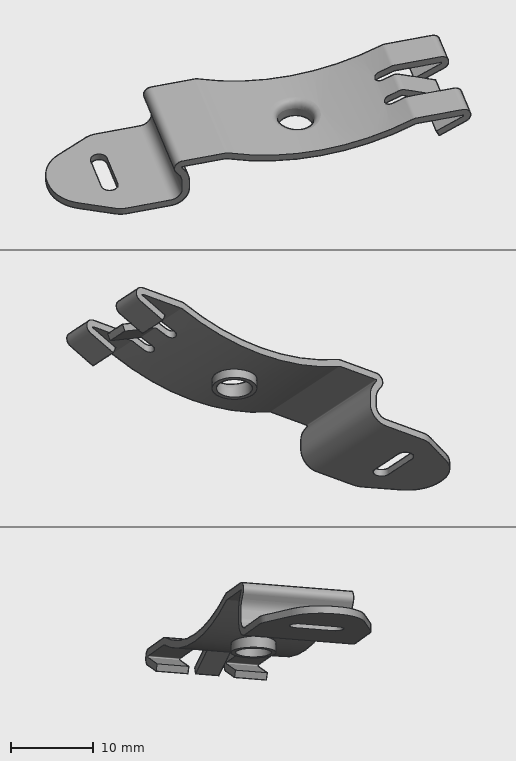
import cadquery as cq
import math

length = 51.0
width = 14.0
height = 6.85
thickness = 0.9
top_mid = height - thickness / 2
foot_mid = thickness / 2

inner_bend_radius = 0.1
bend_radius = inner_bend_radius + thickness / 2
outer_bend_radius = inner_bend_radius + thickness

lip_length = 3.7
lip_angle = 25.0

saddle_start = 6.85
saddle_end = 30.65
saddle_radius = 31.1
saddle_middle = (saddle_start + saddle_end) / 2
saddle_angle = math.degrees(math.asin((saddle_end - saddle_middle) / (saddle_radius + bend_radius)))
saddle_center_z = top_mid - bend_radius + (saddle_radius + bend_radius) * math.cos(math.radians(saddle_angle))

step_nose = 37.1
step_fold_start = step_nose - outer_bend_radius
undercut_angle = 35.0
undercut_radius = 2.55
foot_bend_radius = 1.9
foot_start = 37.55
undercut_sin = math.sin(math.radians(undercut_angle))
undercut_cos = math.cos(math.radians(undercut_angle))
wall_position = foot_start - foot_bend_radius
undercut_setback = step_fold_start + bend_radius * undercut_cos - wall_position
undercut_length = (undercut_setback - undercut_radius * (1 - undercut_cos)) / undercut_sin
wall_height = (
    top_mid - foot_mid
    - bend_radius * (1 + undercut_sin)
    - undercut_length * undercut_cos
    - undercut_radius * undercut_sin
    - foot_bend_radius
)

tongue_width = 2.95
tongue_slot_width = 1.5
tongue_slot_end = 9.45
tongue_bend_start = 7.3
tongue_tip = 2.05
tongue_angle = 23.5
tongue_root = 10.7

hole_position = 20.0
hole_diameter = 4.35
flange_diameter = 5.4
flange_bottom = 2.45
hole_lip_radius = 0.95

foot_tip_flat = 0.5
foot_tip_radius = 4.85
foot_taper_angle = 28.0
foot_corner_radius = 2.7
foot_slot_length = 6.8
foot_slot_width = 2.05
foot_slot_position = 43.9


def step(point, distance, heading):
    """Move a point (y, z) by a distance along a heading in degrees."""
    angle = math.radians(heading)
    return (point[0] + distance * math.cos(angle), point[1] + distance * math.sin(angle))


def ribbon(start, heading, moves, ribbon_width):
    """Bent strip following the middle of the sheet.

    Each move is ("line", length) or ("bend", radius, turn), with left turns positive.
    """
    half = thickness / 2
    first_left = step(start, half, heading + 90)
    point = start
    left = cq.Workplane("YZ").moveTo(*first_left)
    right_edges = []
    right_end = step(start, half, heading - 90)
    for move in moves:
        right_begin = right_end
        right_middle = None
        if move[0] == "line":
            point = step(point, move[1], heading)
            left = left.lineTo(*step(point, half, heading + 90))
        else:
            radius, turn = move[1:]
            to_center = heading + math.copysign(90, turn)
            center = step(point, radius, to_center)
            middle_direction = to_center + 180 + turn / 2
            middle = step(center, radius, middle_direction)
            point = step(center, radius, to_center + 180 + turn)
            middle_heading = heading + turn / 2
            heading += turn
            left = left.threePointArc(
                step(middle, half, middle_heading + 90), step(point, half, heading + 90)
            )
            right_middle = step(middle, half, middle_heading - 90)
        right_end = step(point, half, heading - 90)
        right_edges.append((right_begin, right_middle))
    outline = left.lineTo(*right_end)
    for begin, middle in reversed(right_edges):
        if middle is None:
            outline = outline.lineTo(*begin)
        else:
            outline = outline.threePointArc(middle, begin)
    return outline.close().extrude(ribbon_width / 2, both=True)


def make_strip():
    fold_center = (-outer_bend_radius, top_mid - bend_radius)
    fold_start = step(fold_center, bend_radius, lip_angle - 90)
    lip_tip = step(fold_start, -lip_length, lip_angle)
    moves = [
        ("line", lip_length),
        ("bend", bend_radius, 180 - lip_angle),
        ("line", saddle_start - outer_bend_radius),
        ("bend", bend_radius, saddle_angle),
        ("bend", saddle_radius, -2 * saddle_angle),
        ("bend", bend_radius, saddle_angle),
        ("line", step_fold_start - saddle_end),
        ("bend", bend_radius, 90 + undercut_angle),
        ("line", undercut_length),
        ("bend", undercut_radius, -undercut_angle),
        ("line", wall_height),
        ("bend", foot_bend_radius, -90),
        ("line", length - foot_start),
    ]
    return ribbon(lip_tip, lip_angle, moves, width)


def saddle_slope(position):
    """Slope of the saddle in degrees at a distance from the hook end."""
    return math.degrees(math.asin((saddle_middle - position) / saddle_radius))


def make_tongue():
    root_slope = saddle_slope(tongue_root)
    bend_slope = saddle_slope(tongue_bend_start)
    root = step((-saddle_middle, saddle_center_z), saddle_radius, root_slope - 90)
    bend_run = bend_radius * (math.sin(math.radians(bend_slope)) + math.sin(math.radians(tongue_angle)))
    tip_overhang = thickness / 2 * math.sin(math.radians(tongue_angle))
    straight_run = tongue_bend_start - bend_run - tongue_tip - tip_overhang
    moves = [
        ("bend", saddle_radius, bend_slope - root_slope),
        ("bend", bend_radius, -(bend_slope + tongue_angle)),
        ("line", straight_run / math.cos(math.radians(tongue_angle))),
    ]
    return ribbon(root, root_slope, moves, tongue_width)


def cut_hook_arms(body):
    """Part the hook arms and fit the tongue between them."""
    slot_radius = tongue_slot_width / 2
    slot_offset = tongue_width / 2 + slot_radius
    opening_length = tongue_slot_end - slot_radius
    opening = (
        cq.Workplane("XY")
        .center(0, -opening_length / 2)
        .rect(tongue_width + 2 * tongue_slot_width, opening_length)
        .extrude(height)
    )
    slot_ends = (
        cq.Workplane("XY")
        .pushPoints([(-slot_offset, -opening_length), (slot_offset, -opening_length)])
        .circle(slot_radius)
        .extrude(height)
    )
    return body.cut(opening).cut(slot_ends).union(make_tongue())


def add_flanged_hole(body):
    center = (0, -hole_position)
    saddle_drop = math.sqrt(saddle_radius**2 - (hole_position - saddle_middle) ** 2)
    sheet_mid = saddle_center_z - saddle_drop
    flange = (
        cq.Workplane("XY", origin=(*center, flange_bottom))
        .circle(flange_diameter / 2)
        .extrude(sheet_mid - flange_bottom)
    )
    bore = (
        cq.Workplane("XY", origin=(*center, flange_bottom))
        .circle(hole_diameter / 2)
        .extrude(height - flange_bottom)
    )
    rim_point = (0, -hole_position - hole_diameter / 2, sheet_mid + thickness / 2)
    pierced = body.union(flange).cut(bore)
    return pierced.edges(cq.selectors.NearestToPointSelector(rim_point)).fillet(hole_lip_radius)


def shape_foot(body):
    taper = math.radians(foot_taper_angle)
    tip_center = foot_tip_radius - length
    flat_half = foot_tip_flat / 2
    tangent_x = flat_half + foot_tip_radius * math.cos(taper)
    tangent_y = tip_center - foot_tip_radius * math.sin(taper)
    corner_y = tangent_y + (width / 2 - tangent_x) / math.tan(taper)
    arc_middle = math.radians((foot_taper_angle + 90) / 2)
    middle_x = flat_half + foot_tip_radius * math.cos(arc_middle)
    middle_y = tip_center - foot_tip_radius * math.sin(arc_middle)
    blank = (
        cq.Workplane("XY")
        .moveTo(-width / 2, 0)
        .lineTo(-width / 2, corner_y)
        .lineTo(-tangent_x, tangent_y)
        .threePointArc((-middle_x, middle_y), (-flat_half, -length))
        .lineTo(flat_half, -length)
        .threePointArc((middle_x, middle_y), (tangent_x, tangent_y))
        .lineTo(width / 2, corner_y)
        .lineTo(width / 2, 0)
        .close()
        .extrude(height)
    )
    corners = [(side * width / 2, corner_y, height / 2) for side in (-1, 1)]
    for corner in corners:
        blank = blank.edges(cq.selectors.NearestToPointSelector(corner)).fillet(foot_corner_radius)
    slot = (
        cq.Workplane("XY")
        .center(0, -foot_slot_position)
        .slot2D(foot_slot_length, foot_slot_width)
        .extrude(thickness)
    )
    return body.intersect(blank).cut(slot)


clip = shape_foot(make_strip())
clip = cut_hook_arms(clip)
result = add_flanged_hole(clip)